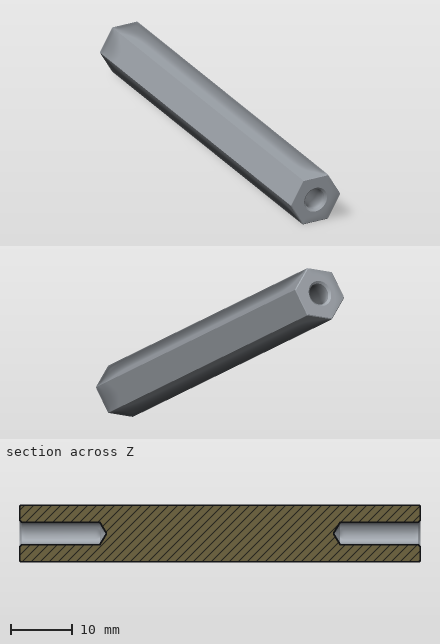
import cadquery as cq
import math

length = 65.0
across_flats = 8.0
across_corners = across_flats / math.cos(math.pi / 6)

end_chamfer = 0.1

hole_diameter = 3.5
hole_depth = 13.0
drill_point_angle = math.radians(118)
countersink_diameter = 4.2


def hexagonal_bar():
    """Bar with two flats facing up and down and both end rims chamfered."""
    bar = cq.Workplane("YZ").polygon(6, across_corners).extrude(length)
    return bar.faces("<X or >X").chamfer(end_chamfer)


def drilled_hole():
    """Countersunk blind hole with a drill point, entering at X = 0."""
    radius = hole_diameter / 2
    mouth_radius = countersink_diameter / 2
    countersink_depth = mouth_radius - radius
    point_length = radius / math.tan(drill_point_angle / 2)
    return (
        cq.Workplane("XY")
        .moveTo(0, 0)
        .lineTo(0, mouth_radius)
        .lineTo(countersink_depth, radius)
        .lineTo(hole_depth, radius)
        .lineTo(hole_depth + point_length, 0)
        .close()
        .revolve(360, (0, 0, 0), (1, 0, 0))
    )


near_hole = drilled_hole()
far_hole = near_hole.mirror("YZ").translate((length, 0, 0))

result = hexagonal_bar().cut(near_hole).cut(far_hole)